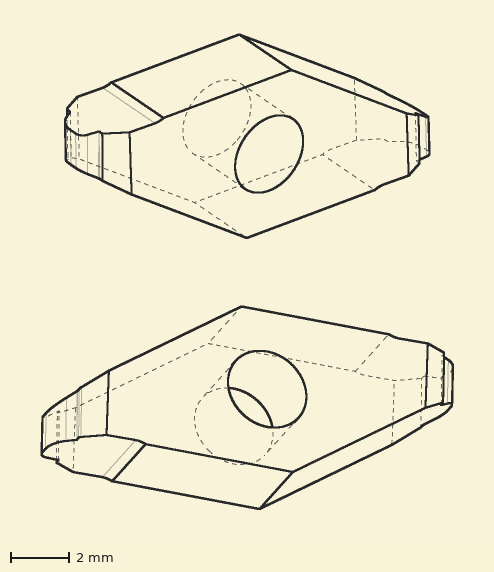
import cadquery as cq
import math

width = 3.0
length = 15.0
height = 6.0

flat_end_y = 0.95
underside_angle = 35.0
hole_diameter = 2.9

rake_start = 4.5
rake_tangent = 4.86
rake_angle = 1.0
groove_radius = 0.9
edge_drop = 0.04

draft_angle = 1.0
edge_left_x = -0.31
edge_right_x = 0.78
edge_left_radius = 0.96
edge_right_radius = 0.3
slanted_flank_angle = 34.0
steep_flank_angle = 5.0
shoulder_setback = 0.74
shoulder_half_width = 1.03
shoulder_radius = 0.1
chamfer_angle = 30.0
margin = 1.0

half_width = width / 2
half_length = length / 2
half_height = height / 2


def slope(angle):
    return math.tan(math.radians(angle))


def half_turn(shape):
    """Turn a shape about the X axis, which carries one tip onto the other."""
    return shape.rotate((0, 0, 0), (1, 0, 0), 180)


def make_blank():
    """Six-sided side profile with its through hole, extruded across the width."""
    heel_z = half_height - (half_length - flat_end_y) * slope(underside_angle)
    profile = [
        (flat_end_y, half_height),
        (-half_length, half_height),
        (-half_length, -heel_z),
        (-flat_end_y, -half_height),
        (half_length, -half_height),
        (half_length, heel_z),
    ]
    blank = cq.Workplane("YZ").polyline(profile).close().extrude(half_width, both=True)
    hole = cq.Workplane("YZ").circle(hole_diameter / 2).extrude(half_width, both=True)
    return blank.cut(hole)


def make_rake_cutter():
    """Material removed above the rake face of the -Y tip."""
    edge_z = half_height - edge_drop
    tangent_z = edge_z - (half_length - rake_tangent) * slope(rake_angle)
    start = (-rake_start, half_height)
    tangent_point = (-rake_tangent, tangent_z)
    return (
        cq.Workplane("YZ")
        .moveTo(*start)
        .radiusArc(tangent_point, groove_radius)
        .lineTo(-half_length, edge_z)
        .lineTo(-half_length, half_height)
        .close()
        .extrude(half_width, both=True)
    )


def make_tip_envelope():
    """Tapered prism that bounds the -Y tip and clears the rest of the body."""
    front_y = -half_length - edge_drop * slope(draft_angle)
    shoulder_y = front_y + shoulder_setback
    flank_left_x = edge_left_x - shoulder_setback * slope(slanted_flank_angle)
    flank_right_x = edge_right_x + shoulder_setback * slope(steep_flank_angle)
    outer_x = half_width + margin
    chamfer_end_y = shoulder_y + (outer_x - shoulder_half_width) / slope(chamfer_angle)
    back_y = half_length + margin
    outline = [
        (edge_left_x, front_y),
        (edge_right_x, front_y),
        (flank_right_x, shoulder_y),
        (shoulder_half_width, shoulder_y),
        (outer_x, chamfer_end_y),
        (outer_x, back_y),
        (-outer_x, back_y),
        (-outer_x, chamfer_end_y),
        (-shoulder_half_width, shoulder_y),
        (flank_left_x, shoulder_y),
    ]
    outline_plane = cq.Plane(origin=(0, 0, half_height), xDir=(1, 0, 0), normal=(0, 0, -1))
    envelope = (
        cq.Workplane(outline_plane)
        .polyline([(x, -y) for x, y in outline])
        .close()
        .extrude(height, taper=draft_angle)
    )
    rounded_corners = [
        (edge_left_x, front_y, edge_left_radius),
        (edge_right_x, front_y, edge_right_radius),
        (-shoulder_half_width, shoulder_y, shoulder_radius),
    ]
    for corner_x, corner_y, radius in rounded_corners:
        corner = cq.selectors.NearestToPointSelector((corner_x, corner_y, 0))
        envelope = envelope.edges(corner).fillet(radius)
    return envelope


tip_envelope = make_tip_envelope()
rake_cutter = make_rake_cutter()

result = make_blank()
result = result.intersect(tip_envelope).intersect(half_turn(tip_envelope))
result = result.cut(rake_cutter).cut(half_turn(rake_cutter))